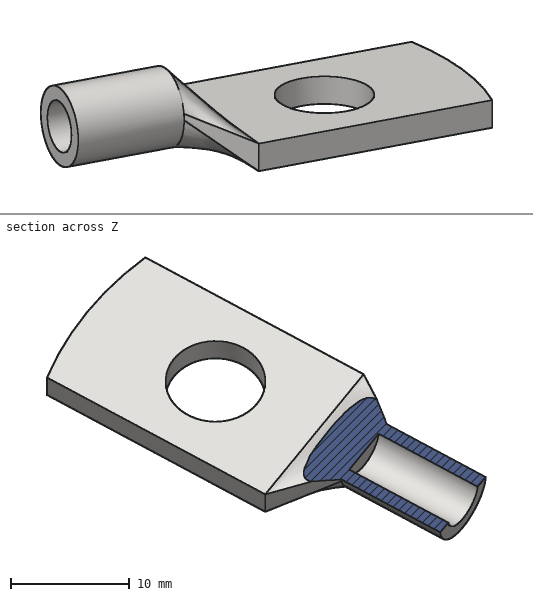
import cadquery as cq

tongue_width = 15.0
tongue_thickness = 2.5
tip_rise = 0.95
stud_hole_diameter = 8.4
stud_hole_y = 25.0

barrel_diameter = 7.0
bore_diameter = 4.5
barrel_length = 10.0
total_height = 7.6
barrel_axis_z = total_height - barrel_diameter / 2

total_length = 38.0
transition_length = 5.0
tongue_start = barrel_length + transition_length


def make_tongue():
    """Flat plate with a shallow arched tip and a stud hole."""
    half_width = tongue_width / 2
    shoulder_y = total_length - tip_rise
    plate = (
        cq.Workplane("XY")
        .moveTo(-half_width, tongue_start)
        .lineTo(half_width, tongue_start)
        .lineTo(half_width, shoulder_y)
        .threePointArc((0, total_length), (-half_width, shoulder_y))
        .close()
        .extrude(tongue_thickness)
    )
    hole = (
        cq.Workplane("XY")
        .center(0, stud_hole_y)
        .circle(stud_hole_diameter / 2)
        .extrude(tongue_thickness)
    )
    return plate.cut(hole)


def make_transition():
    """Loft from the round barrel to the rectangular tongue section."""
    return (
        cq.Workplane("XZ", origin=(0, barrel_length, 0))
        .center(0, barrel_axis_z)
        .circle(barrel_diameter / 2)
        .workplane(offset=-transition_length)
        .center(0, tongue_thickness / 2 - barrel_axis_z)
        .rect(tongue_width, tongue_thickness)
        .loft(ruled=True)
    )


def cylinder_from_mouth(diameter):
    """Cylinder on the barrel axis, as long as the barrel."""
    return (
        cq.Workplane("XZ")
        .center(0, barrel_axis_z)
        .circle(diameter / 2)
        .extrude(-barrel_length)
    )


result = (
    make_tongue()
    .union(make_transition())
    .union(cylinder_from_mouth(barrel_diameter))
    .cut(cylinder_from_mouth(bore_diameter))
)